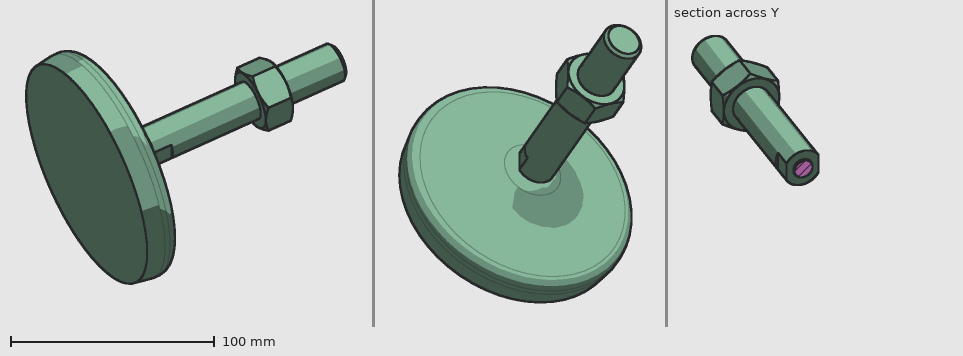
import cadquery as cq
import math

total_length = 143.0

pad_radius = 120.0 / 2
bottom_radius = 58.5
rim_bottom = 9.3
rim_top = 12.2
shoulder_radius = 54.8
shoulder_height = 17.2
flank_point = (29.6, 22.7)
crown_edge_radius = 15.0
crown_edge_height = 29.6
crown_point = (10.7, 31.5)
crown_flat_radius = 5.7
crown_height = 32.2

neck_diameter = 10.0
spindle_diameter = 20.0
spindle_start = 33.3
spindle_tip_chamfer = 1.7
wrench_width = 17.3
wrench_length = 9.9

nut_start = 93.2
nut_height = 15.6
nut_across_flats = 30.0
nut_face_diameter = 29.7
nut_chamfer_angle = 30.0


def cylinder(diameter, start, end):
    """Cylinder along +Y between two heights."""
    return (
        cq.Workplane("XZ", origin=(0, start, 0))
        .circle(diameter / 2)
        .extrude(start - end)
    )


def make_pad():
    """Round pad with a tapered rim, a rounded shoulder and a bell-shaped top."""
    profile = (
        cq.Workplane("XY")
        .lineTo(bottom_radius, 0)
        .lineTo(pad_radius, rim_bottom)
        .lineTo(pad_radius, rim_top)
        .tangentArcPoint((shoulder_radius, shoulder_height), relative=False)
        .threePointArc(flank_point, (crown_edge_radius, crown_edge_height))
        .threePointArc(crown_point, (crown_flat_radius, crown_height))
        .lineTo(0, crown_height)
        .close()
    )
    return profile.revolve(360, (0, 0, 0), (0, 1, 0))


def make_spindle():
    """Spindle with a chamfered tip and two wrench flats facing -X and +X."""
    spindle = (
        cylinder(spindle_diameter, spindle_start, total_length)
        .faces(">Y")
        .edges()
        .chamfer(spindle_tip_chamfer)
    )
    flat_depth = (spindle_diameter - wrench_width) / 2
    for side in (-1, 1):
        flat = cq.Workplane("XY").box(flat_depth, wrench_length, spindle_diameter)
        flat_x = side * (wrench_width + flat_depth) / 2
        flat_y = spindle_start + wrench_length / 2
        spindle = spindle.cut(flat.translate((flat_x, flat_y, 0)))
    return spindle


def make_nut():
    """Hexagon nut with corners on the Z axis and both ends chamfered."""
    corner_diameter = nut_across_flats / math.cos(math.radians(30))
    hexagon = (
        cq.Workplane("XZ", origin=(0, nut_start, 0))
        .transformed(rotate=(0, 0, 90))
        .polygon(6, corner_diameter)
        .extrude(-nut_height)
    )
    face_radius = nut_face_diameter / 2
    corner_radius = corner_diameter / 2
    corner_drop = (corner_radius - face_radius) * math.tan(math.radians(nut_chamfer_angle))
    nut_end = nut_start + nut_height
    chamfer_envelope = (
        cq.Workplane("XY")
        .moveTo(0, nut_start)
        .lineTo(face_radius, nut_start)
        .lineTo(corner_radius, nut_start + corner_drop)
        .lineTo(corner_radius, nut_end - corner_drop)
        .lineTo(face_radius, nut_end)
        .lineTo(0, nut_end)
        .close()
        .revolve(360, (0, 0, 0), (0, 1, 0))
    )
    return hexagon.intersect(chamfer_envelope)


neck = cylinder(neck_diameter, shoulder_height, spindle_start)
result = make_pad().union(neck).union(make_spindle()).union(make_nut())